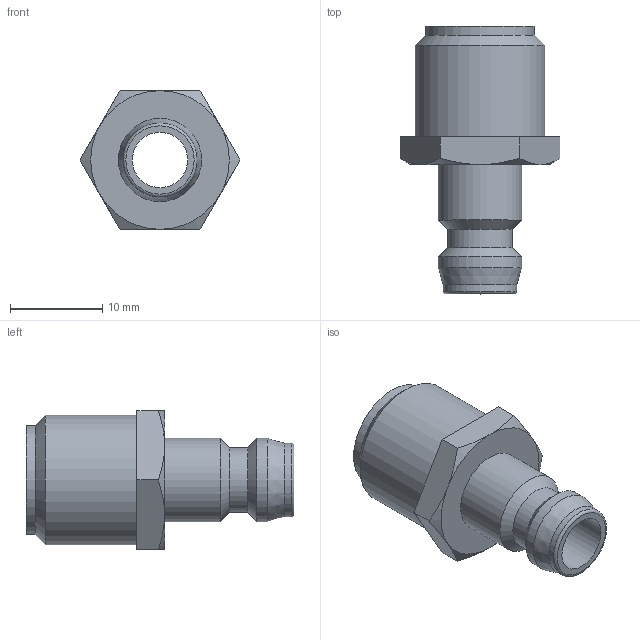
import cadquery as cq
import math


hex_across_flats = 15.0
hex_thickness = 3.0
hex_chamfer_angle = 30.0

shank_diameter = 14.0
shank_end_diameter = 11.8
shank_length = 12.0
shank_cone_length = 1.1
shank_end_length = 1.0

nipple_diameter = 9.0
groove_diameter = 7.0
tip_diameter = 8.0
tip_edge_radius = 0.3
nipple_length = 14.0
neck_length = 6.0
groove_floor_length = 2.0
collar_length = 1.15
tip_length = 1.0

bore_diameter = 6.0

hex_across_corners = hex_across_flats / math.cos(math.radians(30))
hex_chamfer_depth = (hex_across_corners - hex_across_flats) / 2 * math.tan(math.radians(hex_chamfer_angle))
groove_depth = (nipple_diameter - groove_diameter) / 2
tip_y = -nipple_length
back_y = hex_thickness + shank_length


def revolve_about_y(outline):
    return outline.close().revolve(360, (0, 0, 0), (0, 1, 0))


def make_hexagon():
    """Hexagon with corners on X and its front corners turned off conically."""
    prism = (
        cq.Workplane("XZ")
        .polygon(6, hex_across_corners)
        .extrude(-hex_thickness)
    )
    corner_radius = hex_across_corners / 2
    turning_envelope = revolve_about_y(
        cq.Workplane("XY")
        .moveTo(0, 0)
        .lineTo(hex_across_flats / 2, 0)
        .lineTo(corner_radius, hex_chamfer_depth)
        .lineTo(corner_radius, hex_thickness)
        .lineTo(0, hex_thickness)
    )
    return prism.intersect(turning_envelope)


def make_shank():
    """Cylinder behind the hexagon, stepping down through a cone to a short end."""
    radius = shank_diameter / 2
    end_radius = shank_end_diameter / 2
    end_y = back_y - shank_end_length
    return revolve_about_y(
        cq.Workplane("XY")
        .moveTo(0, hex_thickness)
        .lineTo(radius, hex_thickness)
        .lineTo(radius, end_y - shank_cone_length)
        .lineTo(end_radius, end_y)
        .lineTo(end_radius, back_y)
        .lineTo(0, back_y)
    )


def make_nipple():
    """Grooved nipple with a conical nose and a rounded tip edge."""
    radius = nipple_diameter / 2
    groove_radius = groove_diameter / 2
    tip_radius = tip_diameter / 2
    groove_back_y = -neck_length - groove_depth
    groove_front_y = groove_back_y - groove_floor_length
    collar_back_y = groove_front_y - groove_depth
    collar_front_y = collar_back_y - collar_length
    nipple = revolve_about_y(
        cq.Workplane("XY")
        .moveTo(0, 0)
        .lineTo(radius, 0)
        .lineTo(radius, -neck_length)
        .lineTo(groove_radius, groove_back_y)
        .lineTo(groove_radius, groove_front_y)
        .lineTo(radius, collar_back_y)
        .lineTo(radius, collar_front_y)
        .lineTo(tip_radius, tip_y + tip_length)
        .lineTo(tip_radius, tip_y)
        .lineTo(0, tip_y)
    )
    return nipple.faces("<Y").edges().fillet(tip_edge_radius)


def make_bore():
    """Cylinder that opens the part from tip to back."""
    return (
        cq.Workplane("XZ", origin=(0, back_y, 0))
        .circle(bore_diameter / 2)
        .extrude(back_y - tip_y)
    )


result = make_hexagon().union(make_shank()).union(make_nipple()).cut(make_bore())